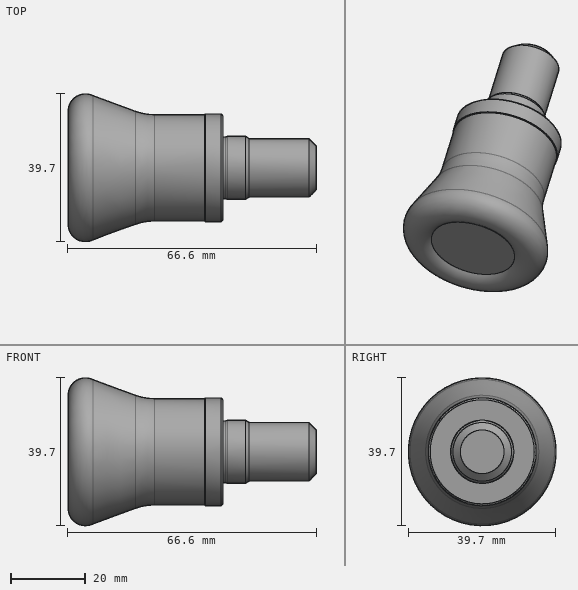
import cadquery as cq
import math


RIM_RADIUS = 19.85
RIM_ROUND = 4.65
DISH_RADIUS = 11.5
SLEEVE_RADIUS = 28.6 / 2
RIM_END = 6.65
FLARE_ANGLE = math.radians(20.2)
FLARE_BLEND_START = 18.05
FLARE_BLEND_END = 23.1
SLEEVE_END = 36.65

COLLAR_RADIUS = 29.0 / 2
COLLAR_END = 41.6
COLLAR_BACK_CHAMFER = 0.2
COLLAR_FRONT_CHAMFER = 0.5
NECK_RADIUS = 8.3
NECK_END = 42.25
SHOULDER_RADIUS = 17.0 / 2
SHOULDER_START = 42.8
SHOULDER_END = 47.6
SHANK_START = 48.55
SHANK_RADIUS = 15.7 / 2
TOTAL_LENGTH = 66.6
TIP_CHAMFER = 2.0


def revolve_about_x(profile):
    return profile.close().revolve(360, (0, 0, 0), (1, 0, 0))


def make_knob():
    rim_x = RIM_ROUND
    rim_y = RIM_RADIUS - RIM_ROUND
    dish_depth = rim_x - math.sqrt(RIM_ROUND**2 - (rim_y - DISH_RADIUS) ** 2)
    flare_start = (RIM_END, rim_y + math.sqrt(RIM_ROUND**2 - (RIM_END - rim_x) ** 2))

    blend_length = FLARE_BLEND_END - FLARE_BLEND_START
    blend_radius = blend_length / math.sin(FLARE_ANGLE)
    blend_start = (FLARE_BLEND_START, SLEEVE_RADIUS + blend_radius * (1 - math.cos(FLARE_ANGLE)))
    blend_middle = (
        FLARE_BLEND_END - blend_radius * math.sin(FLARE_ANGLE / 2),
        SLEEVE_RADIUS + blend_radius * (1 - math.cos(FLARE_ANGLE / 2)),
    )

    profile = (
        cq.Workplane("XY")
        .moveTo(dish_depth, 0)
        .lineTo(dish_depth, DISH_RADIUS)
        .threePointArc((0, rim_y), flare_start)
        .lineTo(*blend_start)
        .threePointArc(blend_middle, (FLARE_BLEND_END, SLEEVE_RADIUS))
        .lineTo(SLEEVE_END, SLEEVE_RADIUS)
        .lineTo(SLEEVE_END, 0)
    )
    return revolve_about_x(profile)


def make_stud():
    profile = (
        cq.Workplane("XY")
        .moveTo(SLEEVE_END, 0)
        .lineTo(SLEEVE_END, COLLAR_RADIUS - COLLAR_BACK_CHAMFER)
        .lineTo(SLEEVE_END + COLLAR_BACK_CHAMFER, COLLAR_RADIUS)
        .lineTo(COLLAR_END - COLLAR_FRONT_CHAMFER, COLLAR_RADIUS)
        .lineTo(COLLAR_END, COLLAR_RADIUS - COLLAR_FRONT_CHAMFER)
        .lineTo(COLLAR_END, NECK_RADIUS)
        .lineTo(NECK_END, NECK_RADIUS)
        .lineTo(SHOULDER_START, SHOULDER_RADIUS)
        .lineTo(SHOULDER_END, SHOULDER_RADIUS)
        .lineTo(SHANK_START, SHANK_RADIUS)
        .lineTo(TOTAL_LENGTH - TIP_CHAMFER, SHANK_RADIUS)
        .lineTo(TOTAL_LENGTH, SHANK_RADIUS - TIP_CHAMFER)
        .lineTo(TOTAL_LENGTH, 0)
    )
    return revolve_about_x(profile)


knob = make_knob()
stud = make_stud()

result = cq.Compound.makeCompound([knob.val(), stud.val()])